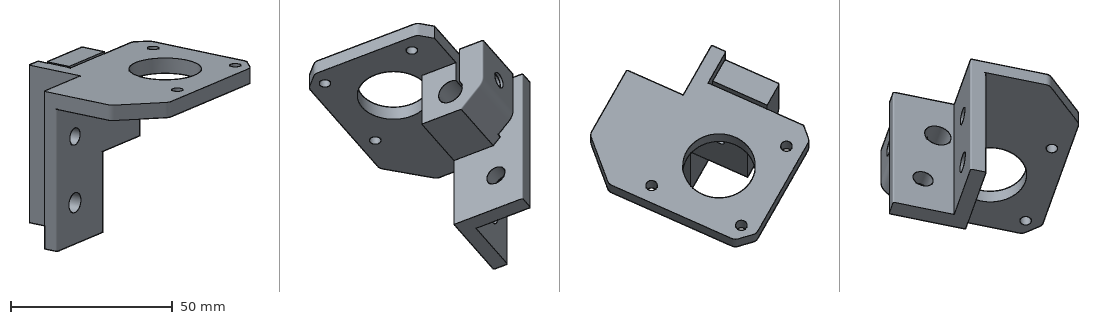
import cadquery as cq

width = 57.7
depth = 61.5
height = 51.0
wall = 5.0
edge_round = 0.5

leg_length = 19.5
leg_back = leg_length + wall
rear_hole_z = -37.4
side_holes_z = (-16.2, -37.6)
leg_hole_center = 9.55
leg_hole_diameter = 6.4
upper_side_hole_diameter = 5.5

plate_left = 12.3
back_left_chamfer = 4.0
back_right_chamfer = 5.0
front_chamfer = 13.0
plate_corner_radius = 2.5
motor_x = 36.7
motor_y = 40.5
motor_bore = 22.4
motor_hole_offset = 15.5
motor_hole_diameter = 3.5

clamp_left = 2.65
clamp_back = 44.3
clamp_bottom = -24.85
clamp_bottom_left = 10.45
clamp_corner_radius = 5.0
bore_x = 14.25
bore_z = -16
bore_diameter = 8.4
slit_left = 11.1
arm_gap = 1.0
screw_y = 34.45
screw_z = -9.0
screw_diameter = 3.5
arm_hole_diameter = 4.8
arm_hole_mouth_diameter = 5.05
arm_hole_mouth_depth = 1.0

def box(x0, x1, y0, y1, z0, z1):
    """Box between opposite corner coordinates."""
    return cq.Workplane("XY").box(x1 - x0, y1 - y0, z1 - z0, centered=False).translate((x0, y0, z0))

def rod_y(x, z, diameter, y0, y1):
    """Cylinder along Y."""
    return cq.Workplane("XZ", origin=(x, y0, z)).circle(diameter / 2).extrude(y0 - y1)

def rod_x(y, z, diameter, x0, x1):
    """Cylinder along X."""
    return cq.Workplane("YZ", origin=(x0, y, z)).circle(diameter / 2).extrude(x1 - x0)

def angle_bracket():
    rear = box(0, leg_back, leg_length, leg_back, -height, 0)
    side = box(leg_length, leg_back, 0, leg_back, -height, 0)
    rear = rear.edges("|Z and <X").fillet(edge_round)
    side = side.edges("|Z and <Y").fillet(edge_round)
    return rear.union(side)

def motor_plate():
    outline = [
        (leg_length, 0),
        (width - front_chamfer, 0),
        (width, front_chamfer),
        (width, depth - back_right_chamfer),
        (width - back_right_chamfer, depth),
        (plate_left + back_left_chamfer, depth),
        (plate_left, depth - back_left_chamfer),
        (plate_left, leg_length),
        (leg_length, leg_length),
    ]
    plate = cq.Workplane("XY").polyline(outline).close().extrude(-wall)
    for x, y in outline[1:6]:
        corner = cq.NearestToPointSelector((x, y, -wall / 2))
        plate = plate.edges(corner).fillet(plate_corner_radius)
    plate = plate.edges("|Z and <Y").edges("<X").fillet(edge_round)
    holes = [(motor_x + sx * motor_hole_offset, motor_y + sy * motor_hole_offset)
             for sx, sy in ((-1, 1), (1, 1), (1, -1))]
    cutters = cq.Workplane("XY").pushPoints(holes).circle(motor_hole_diameter / 2).extrude(-wall)
    bore = cq.Workplane("XY").center(motor_x, motor_y).circle(motor_bore / 2).extrude(-wall)
    return plate.cut(cutters).cut(bore)

def clamp():
    slope_top = clamp_bottom + clamp_bottom_left - clamp_left
    outline = [
        (clamp_left, 0),
        (clamp_left, slope_top),
        (clamp_bottom_left, clamp_bottom),
        (leg_back, clamp_bottom),
        (leg_back, -wall),
        (plate_left, -wall),
        (plate_left, 0),
    ]
    body = cq.Workplane("XZ", origin=(0, leg_back, 0)).polyline(outline).close()
    body = body.extrude(leg_back - clamp_back)
    slope_corner = (clamp_left, (leg_back + clamp_back) / 2, slope_top)
    body = body.edges(cq.NearestToPointSelector(slope_corner)).fillet(clamp_corner_radius)
    body = body.cut(box(slit_left, plate_left, leg_back, clamp_back, bore_z, 0))

    gap_outline = [
        (0, 0),
        (plate_left, 0),
        (plate_left, bore_z),
        (bore_x, bore_z),
        (0, bore_z - bore_x),
    ]
    gap = cq.Workplane("XZ", origin=(0, leg_back, 0)).polyline(gap_outline).close().extrude(-arm_gap)
    body = body.cut(gap)
    for y in (leg_back + arm_gap, clamp_back):
        arm_edge = (clamp_left, y, screw_z)
        body = body.edges(cq.NearestToPointSelector(arm_edge)).fillet(edge_round)
    return body

def leg_holes():
    upper_z, lower_z = side_holes_z
    rear = rod_y(leg_hole_center, rear_hole_z, leg_hole_diameter, leg_length, leg_back)
    side_upper = rod_x(leg_hole_center, upper_z, upper_side_hole_diameter, leg_length, leg_back)
    side_lower = rod_x(leg_hole_center, lower_z, leg_hole_diameter, leg_length, leg_back)
    return rear.union(side_upper).union(side_lower)

def clamp_holes():
    bore = rod_y(bore_x, bore_z, bore_diameter, leg_length, clamp_back)
    screw = rod_x(screw_y, screw_z, screw_diameter, clamp_left, leg_back)
    arm_hole = rod_x(screw_y, screw_z, arm_hole_diameter, clamp_left, slit_left)
    mouth = rod_x(screw_y, screw_z, arm_hole_mouth_diameter, clamp_left, clamp_left + arm_hole_mouth_depth)
    return bore.union(screw).union(arm_hole).union(mouth)

result = angle_bracket().union(motor_plate()).union(clamp())
result = result.cut(leg_holes()).cut(clamp_holes())